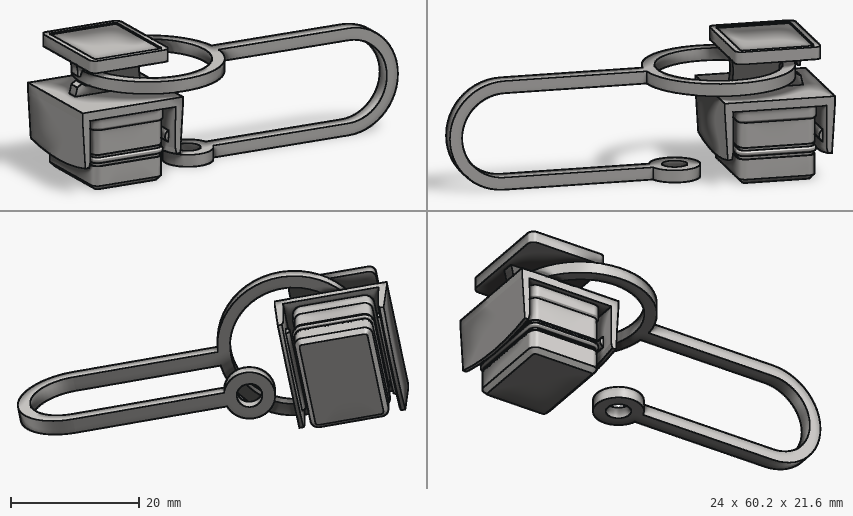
import cadquery as cq

overall_length = 60.2
overall_height = 21.6

plate_length_x = 18.0
plate_length_y = 17.8
plate_thickness = 1.45
plate_top = 13.6
plate_bottom = plate_top - plate_thickness
leg_root_thickness = 1.3
leg_tip_outer = 8.35
leg_tip_inner = 7.5
leg_corner_z = 4.45
leg_middle_z = 3.45
leg_lead_in_width = 0.25
leg_lead_in_height = 0.95
bead_length = 13.5
bead_z = 6.75
bead_height = 1.9
bead_peak = 6.9

plug_length_x = 15.6
plug_length_y = 12.4
plug_corner_radius = 1.25
plug_chamfer = 0.8
collar_overhang = 0.27
collar_height = 2.3
collar_rounding = 0.5

seal_section = 0.9
seal_z = 4.95
groove_height = 1.85
groove_depth = seal_section / 2 - collar_overhang

head_length_x = 17.05
head_length_y = 13.85
head_thickness = 2.0
head_corner_radius = 1.1
head_rim = 0.95
recess_depth = 0.25
recess_corner_radius = 0.35
head_bottom = overall_height - head_thickness
web_thickness = 2.0
web_end_half_length = 5.9
web_waist_half_length = 5.4

strap_width = 2.4
strap_thickness = 2.0
bend_radius = 8.8
strap_top = 2 * bend_radius
bend_y = overall_length - plate_length_y / 2 - bend_radius
ring_outer_diameter = 24.0
ring_outer_radius = ring_outer_diameter / 2
ring_inner_radius = ring_outer_radius - strap_thickness
ring_y = 7.5
eyelet_y = 14.6
eyelet_outer_diameter = 8.0
eyelet_outer_radius = eyelet_outer_diameter / 2
eyelet_hole_radius = 2.0

eye_radius = 1.5
eye_y = ring_y - (ring_outer_radius + ring_inner_radius) / 2
eye_z = strap_top - strap_thickness / 2
mouth_top = 16.8
mouth_lip_inner_y = -4.7
mouth_lip_inner_z = 15.6
mouth_lip_slope = 0.6
hook_tip_rounding = 0.21


def rounded_block(length_x, length_y, corner_radius, bottom, height):
    """Block centred on the Z axis with rounded vertical edges."""
    block = cq.Workplane("XY").workplane(offset=bottom).rect(length_x, length_y).extrude(height)
    return block.edges("|Z").fillet(corner_radius)


def plug_layer(offset, bottom, height):
    """Block with the plug's outline grown outward by offset."""
    return rounded_block(
        plug_length_x + 2 * offset, plug_length_y + 2 * offset, plug_corner_radius + offset, bottom, height
    )


def snap_leg():
    """Tapered leg on the +Y side, with a bowed lower edge and a snap bead on its inner face."""
    root_outer = plate_length_y / 2
    root_inner = root_outer - leg_root_thickness
    section = [
        (root_outer, plate_bottom),
        (leg_tip_outer, leg_middle_z),
        (leg_tip_inner, leg_middle_z),
        (root_inner, plate_bottom),
    ]
    leg = cq.Workplane("YZ").polyline(section).close().extrude(plate_length_x / 2, both=True)

    face_outline = (
        cq.Workplane("XZ")
        .moveTo(-plate_length_x / 2, plate_bottom)
        .lineTo(-plate_length_x / 2, leg_corner_z)
        .threePointArc((0, leg_middle_z), (plate_length_x / 2, leg_corner_z))
        .lineTo(plate_length_x / 2, plate_bottom)
        .close()
        .extrude(-plate_length_y)
    )

    bead_root = (leg_tip_inner + leg_tip_outer) / 2
    bead_face = leg_tip_inner + (root_inner - leg_tip_inner) * (bead_z - leg_middle_z) / (
        plate_bottom - leg_middle_z
    )
    bead_lower = bead_z - bead_height / 2
    bead_upper = bead_z + bead_height / 2
    bead = (
        cq.Workplane("YZ")
        .moveTo(bead_root, bead_lower)
        .lineTo(bead_face, bead_lower)
        .threePointArc((bead_peak, bead_z), (bead_face, bead_upper))
        .lineTo(bead_root, bead_upper)
        .close()
        .extrude(bead_length / 2, both=True)
    )
    leg = leg.intersect(face_outline)
    lead_in_edge = cq.selectors.BoxSelector(
        (-plate_length_x, leg_tip_inner - leg_lead_in_width, leg_middle_z),
        (plate_length_x, leg_tip_inner + leg_lead_in_width, leg_corner_z),
    )
    leg = leg.edges(lead_in_edge).chamfer(leg_lead_in_width, leg_lead_in_height)
    return leg.union(bead)


def plug():
    """Plug under the plate: chamfered foot, seal groove and a rounded collar at the top.

    The groove floor has a half-round seat for the seal ring.
    """
    core = plug_layer(0, 0, plate_bottom).faces("<Z").chamfer(plug_chamfer)
    groove_bottom = seal_z - groove_height / 2
    groove = plug_layer(collar_overhang, groove_bottom, groove_height).cut(
        plug_layer(-groove_depth, groove_bottom, groove_height)
    )
    collar = plug_layer(collar_overhang, plate_bottom - collar_height, collar_height)
    collar = collar.faces("<Z").edges().fillet(collar_rounding)
    return core.cut(groove).cut(make_seal()).union(collar)


def grip_head():
    """Rounded top plate with a shallow recess inside a rim."""
    head = rounded_block(head_length_x, head_length_y, head_corner_radius, head_bottom, head_thickness)
    recess = rounded_block(
        head_length_x - 2 * head_rim,
        head_length_y - 2 * head_rim,
        recess_corner_radius,
        overall_height - recess_depth,
        recess_depth,
    )
    return head.cut(recess)


def web():
    """Waisted web between plate and head, with a hook-shaped eye open toward -Y."""
    waist_z = (plate_top + head_bottom) / 2
    body = (
        cq.Workplane("YZ")
        .moveTo(-web_end_half_length, plate_top)
        .lineTo(web_end_half_length, plate_top)
        .threePointArc((web_waist_half_length, waist_z), (web_end_half_length, head_bottom))
        .lineTo(-web_end_half_length, head_bottom)
        .threePointArc((-web_waist_half_length, waist_z), (-web_end_half_length, plate_top))
        .close()
        .extrude(web_thickness / 2, both=True)
    )
    eye = cq.Workplane("YZ").center(eye_y, eye_z).circle(eye_radius).extrude(web_thickness, both=True)

    mouth_end_y = -plate_length_y / 2
    mouth_end_z = mouth_lip_inner_z + mouth_lip_slope * (mouth_end_y - mouth_lip_inner_y)
    mouth_outline = [
        (eye_y, mouth_top),
        (mouth_end_y, mouth_top),
        (mouth_end_y, mouth_end_z),
        (mouth_lip_inner_y, mouth_lip_inner_z),
        (eye_y, mouth_lip_inner_z),
    ]
    mouth = cq.Workplane("YZ").polyline(mouth_outline).close().extrude(web_thickness, both=True)

    hooked = body.cut(eye).cut(mouth)
    hook_tip = cq.selectors.BoxSelector(
        (-web_thickness, -web_end_half_length, mouth_top - hook_tip_rounding),
        (web_thickness, eye_y, mouth_top + hook_tip_rounding),
    )
    return hooked.edges("|X").edges(hook_tip).fillet(hook_tip_rounding)


def make_cover():
    """Plate with two snap legs, the plug below it, and the web and grip head above it."""
    plate_plane = cq.Workplane("XY").workplane(offset=plate_bottom)
    plate = plate_plane.rect(plate_length_x, plate_length_y).extrude(plate_thickness)
    leg = snap_leg()
    cover = plate.union(leg).union(leg.mirror("XZ"))
    return cover.union(plug()).union(web()).union(grip_head())


def make_seal():
    """Round-section ring, half sunk in the groove floor and standing proud of the plug."""
    half_x = plug_length_x / 2 - groove_depth
    half_y = plug_length_y / 2 - groove_depth
    path_corner_radius = plug_corner_radius - groove_depth
    frame = cq.Workplane("XY").workplane(offset=seal_z).rect(2 * half_x, 2 * half_y).wires().val()
    path = frame.fillet2D(path_corner_radius, frame.Vertices())
    return cq.Workplane("XZ").center(half_x, seal_z).circle(seal_section / 2).sweep(path)


def flat_ring(centre_y, outer_radius, inner_radius, bottom):
    """Horizontal flat ring of strap thickness, centred at X = 0."""
    plane = cq.Workplane("XY").workplane(offset=bottom).center(0, centre_y)
    return plane.circle(outer_radius).circle(inner_radius).extrude(strap_thickness)


def make_strap():
    """Strap bent back on itself, with a large ring on the upper run and an eyelet on the lower."""
    inner_bend_radius = bend_radius - strap_thickness
    upper_start = ring_y + (ring_outer_radius + ring_inner_radius) / 2
    lower_start = eyelet_y + (eyelet_outer_radius + eyelet_hole_radius) / 2
    band = (
        cq.Workplane("YZ")
        .moveTo(upper_start, strap_top)
        .lineTo(bend_y, strap_top)
        .threePointArc((bend_y + bend_radius, bend_radius), (bend_y, 0))
        .lineTo(lower_start, 0)
        .lineTo(lower_start, strap_thickness)
        .lineTo(bend_y, strap_thickness)
        .threePointArc((bend_y + inner_bend_radius, bend_radius), (bend_y, strap_top - strap_thickness))
        .lineTo(upper_start, strap_top - strap_thickness)
        .close()
        .extrude(strap_width / 2, both=True)
    )
    ring = flat_ring(ring_y, ring_outer_radius, ring_inner_radius, strap_top - strap_thickness)
    eyelet = flat_ring(eyelet_y, eyelet_outer_radius, eyelet_hole_radius, 0)
    return band.union(ring).union(eyelet)


cover = make_cover()
seal = make_seal()
strap = make_strap()

result = cq.Compound.makeCompound([cover.val(), seal.val(), strap.val()])